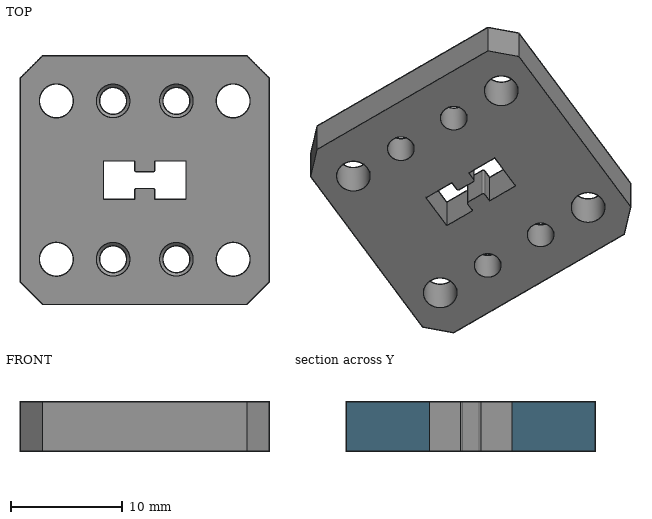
import cadquery as cq

side = 22.4
thickness = 4.48
corner_clip = 2.02

row_offset = 7.12
outer_hole_offset = 7.95
inner_hole_offset = 2.85
outer_hole_diameter = 3.02
inner_hole_diameter = 2.4
countersink_diameter = 3.02
countersink_depth = (countersink_diameter - inner_hole_diameter) / 2

opening_length = 7.4
opening_width = 3.4
ridge_width = 1.84
ridge_gap = 1.48
ridge_corner_radius = 0.18


def row_points(offset):
    """Four hole centres placed symmetrically in both rows."""
    return [(x, y) for x in (-offset, offset) for y in (-row_offset, row_offset)]


def make_plate():
    blank = cq.Workplane("XY").rect(side, side).extrude(thickness)
    return blank.edges("|Z").chamfer(corner_clip)


def make_outer_holes():
    centres = cq.Workplane("XY").pushPoints(row_points(outer_hole_offset))
    return centres.circle(outer_hole_diameter / 2).extrude(thickness)


def make_inner_holes():
    centres = row_points(inner_hole_offset)
    bores = cq.Workplane("XY").pushPoints(centres).circle(inner_hole_diameter / 2).extrude(thickness)
    for x, y in centres:
        cone = cq.Solid.makeCone(
            inner_hole_diameter / 2,
            countersink_diameter / 2,
            countersink_depth,
            pnt=cq.Vector(x, y, thickness - countersink_depth),
        )
        bores = bores.union(cq.Workplane(obj=cone))
    return bores


def make_ridged_opening():
    opening = cq.Workplane("XY").rect(opening_length, opening_width).extrude(thickness)
    ridge_height = (opening_width - ridge_gap) / 2
    for direction in (-1, 1):
        ridge_centre = direction * (ridge_gap + ridge_height) / 2
        tip_edges = "|Z and <Y" if direction > 0 else "|Z and >Y"
        ridge = (
            cq.Workplane("XY")
            .center(0, ridge_centre)
            .rect(ridge_width, ridge_height)
            .extrude(thickness)
            .edges(tip_edges)
            .fillet(ridge_corner_radius)
        )
        opening = opening.cut(ridge)
    return opening


result = (
    make_plate()
    .cut(make_outer_holes())
    .cut(make_inner_holes())
    .cut(make_ridged_opening())
)